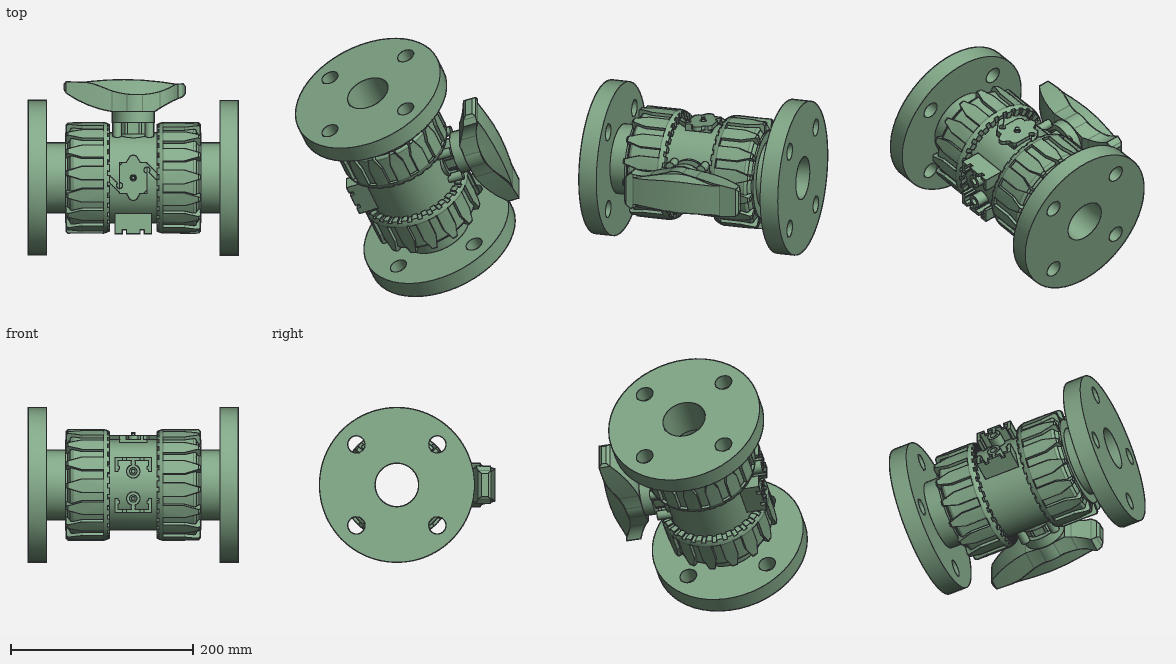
import cadquery as cq
import math


TOTAL_LENGTH = 230.6
HALF_LENGTH = TOTAL_LENGTH / 2
BORE_DIA = 47.5

FLANGE_DIA = 170.1
FLANGE_THICKNESS = 20.4
BOLT_CIRCLE_DIA = 125.5
BOLT_HOLE_DIA = 18.7
BOLT_COUNT = 4
BOLT_START_ANGLE = 45
PIPE_DIA = 77.1

NUT_TOOTH_TIP_X = 26.0
NUT_TOOTH_ROOT_X = 28.0
NUT_COLLAR_X = 32.7
RIB_TAPER_X = 56.3
RIB_END_X = 73.5
NUT_END_X = 74.4
NUT_LIP_X = 72.3
NUT_SHOULDER_X = 69.3
NUT_GROOVE_END_X = 66.3
NUT_WALL = 7.0
NUT_OUTER_RADIUS = 60.8
NUT_MOUTH_RADIUS = 58.3
NUT_MOUTH_MIDDLE_RADIUS = 59.9
NUT_GROOVE_RADIUS = 57.3
NUT_END_RADIUS = 98.3 / 2
NUT_SHOULDER_RADIUS = 54.0
NUT_SHOULDER_MIDDLE = (-68.4, 56.2)
NUT_MOUTH_BORE_DIA = 101.3
NUT_MOUTH_BORE_DEPTH = 6.0
RIB_COUNT = 15
RIB_WIDTH = 15.0
RIB_TIP_WIDTH = 4.6
RIB_END_CHAMFER = 2.0
RIB_OVERLAP = 1.0
TOOTH_COUNT = 2 * RIB_COUNT
TOOTH_GAP = 5.0
LEFT_NUT_ANGLE = 0.9
RIGHT_NUT_ANGLE = 5.1

HOUSING_DIA = 99.3
HOUSING_RADIUS = HOUSING_DIA / 2
HOUSING_HALF_LENGTH = NUT_END_X - NUT_WALL

MOUNT_TOP_Y = 60.7
MOUNT_DISC_RADIUS = 23.3
MOUNT_DISC_Y = 48.0
POST_DIA = 10.0
POST_CIRCLE_DIA = 50.0
STEM_HALF_WIDTH = 15.0
STEM_CHAMFER = 6.0
STEM_PAD_HALF_WIDTH = 6.3
STEM_PAD_HEIGHT = 1.0

BRACKET_HALF_WIDTH = 20.1
BRACKET_HEIGHT = 30.3
BRACKET_WALL = 3.5
BRACKET_END_Y = -61.5
BRACKET_LEG_END = 14.9
HOOK_DEPTH = 1.7
HOOK_BASE = 4.6
HOOK_TIP = 1.6
HOOK_Z = 18.8
BOSS_DIA = 14.6
BOSS_Z = 14.9
BOSS_COUNTERBORE_DIA = 8.0
BOSS_COUNTERBORE_DEPTH = 8.0
BOSS_HOLE_DIA = 4.3
BOSS_HOLE_DEPTH = 15.0
NECK_WIDTH = 3.6
NECK_BEAD_DIA = 5.0
NECK_BEAD_Z = 24.4
NOTCH_WIDTH = 4.4
NOTCH_DEPTH = 4.4
NOTCH_X = 9.8

PLATE_BOTTOM_Z = HOUSING_RADIUS
PLATE_TOP_Z = 54.3
PLATE_HALF_WIDTH = 15.0
PLATE_HALF_LENGTH = 17.0
PLATE_CORNER = 3.5
EAR_BASE = 7.8
EAR_NECK = 5.2
EAR_NECK_Y = 20.7
EAR_TOP_Y = 24.8
ARM_UPPER_SUM = 23.2
ARM_LOWER_SUM = 31.3
ARM_RELIEF_DIA = 6.61
ARM_RELIEF_Y = 8.5
PLATE_HOLE_DIA = 6.61
PIN_HEAD_DIA = 4.2
PIN_HEAD_HEIGHT = 1.4
PIN_NECK_DIA = 3.5
PIN_TOP_Z = 57.6

HANDLE_LEFT_X = -76.0
LEFT_SHOULDER_X = -73.6
HUB_LEFT_X = -23.4
HUB_ARC_START_X = -7.0
HUB_ARC_END_X = 10.0
HUB_RIGHT_X = 23.6
WAIST_X = 29.5
GRIP_X = 49.0
RIGHT_SHOULDER_X = 54.5
HANDLE_RIGHT_X = 57.2

HANDLE_BOTTOM_Y = 72.6
HANDLE_PEAK = (-12.0, 107.81)
DOME_LEFT = (-54.5, 104.8)
DOME_RIGHT = (46.5, 102.7)
LEFT_TIP_HEIGHTS = (93.0, 97.0, 102.4, 105.5)
RIGHT_TIP_HEIGHTS = (88.9, 92.6, 100.3, 103.2)
LEFT_BELLY = (-51.0, 80.4)
RIGHT_BELLY = (38.0, 81.4)
GRIP_BOTTOM_Y = 86.8
WAIST_BOTTOM_Y = 76.5
SHOULDER_EDGE = [(-41.0, 102.1), (HUB_LEFT_X, 95.3), (2.0, 91.2), (WAIST_X, 94.6), DOME_RIGHT]

COLLAR_RADIUS = 23.2
HUB_RADIUS = 24.0
LEFT_TIP_HALF_WIDTH = 12.3
LEFT_SHOULDER_HALF_WIDTH = 15.6
LEFT_WING_MIDDLE = (-50.0, 18.7)
HUB_LEFT_HALF_WIDTH = 20.8
HUB_BLEND_MIDDLE = (-15.0, 21.6)
WAIST_BLEND_MIDDLE = (20.0, 19.2)
WAIST_HALF_WIDTH = 17.4
GRIP_MIDDLE = (40.0, 17.2)
GRIP_HALF_WIDTH = 20.6
RIGHT_SHOULDER_HALF_WIDTH = 16.0
RIGHT_TIP_HALF_WIDTH = 12.8

CROWN_BASE_Y = 91.0
CROWN_TOP_Y = 108.5
CROWN_STATIONS = [
    (DOME_LEFT[0], 20.0, 16.6),
    (HUB_LEFT_X, 20.9, 17.2),
    (1.0, 21.2, 17.5),
    (WAIST_X, 17.4, 15.4),
    (DOME_RIGHT[0], 17.2, 14.6),
]
HANDLE_DEPTH = 60


def x_cylinder(diameter, x_start, x_end):
    length = x_end - x_start
    return cq.Workplane("YZ", origin=(x_start, 0, 0)).circle(diameter / 2).extrude(length)


def y_cylinder(radius, x, z, y_start, y_end):
    base = cq.Workplane("XZ", origin=(0, y_start, 0)).center(x, z)
    return base.circle(radius).extrude(y_start - y_end)


def y_prism(sketch_points, y_start, y_end):
    base = cq.Workplane("XZ", origin=(0, y_start, 0))
    return base.polyline(sketch_points).close().extrude(y_start - y_end)


def half_turn(shape):
    return shape.rotate((0, 0, 0), (0, 0, 1), 180)


def make_pipe_end():
    flange_face = FLANGE_THICKNESS - HALF_LENGTH
    body = x_cylinder(FLANGE_DIA, -HALF_LENGTH, flange_face)
    body = body.union(x_cylinder(PIPE_DIA, flange_face, -HOUSING_HALF_LENGTH))
    body = body.cut(x_cylinder(BORE_DIA, -HALF_LENGTH, 0))
    bolts = (
        cq.Workplane("YZ", origin=(-HALF_LENGTH, 0, 0))
        .polarArray(BOLT_CIRCLE_DIA / 2, BOLT_START_ANGLE, 360, BOLT_COUNT)
        .circle(BOLT_HOLE_DIA / 2)
        .extrude(FLANGE_THICKNESS)
    )
    return body.cut(bolts)


def nut_core():
    mouth_middle = (-(NUT_TOOTH_TIP_X + NUT_COLLAR_X) / 2, NUT_MOUTH_MIDDLE_RADIUS)
    return (
        cq.Workplane("XY")
        .moveTo(-NUT_END_X, 0)
        .lineTo(-NUT_END_X, NUT_END_RADIUS)
        .lineTo(-NUT_LIP_X, NUT_END_RADIUS)
        .lineTo(-NUT_SHOULDER_X, NUT_SHOULDER_RADIUS)
        .threePointArc(NUT_SHOULDER_MIDDLE, (-NUT_GROOVE_END_X, NUT_GROOVE_RADIUS))
        .lineTo(-NUT_COLLAR_X, NUT_GROOVE_RADIUS)
        .lineTo(-NUT_COLLAR_X, NUT_OUTER_RADIUS)
        .threePointArc(mouth_middle, (-NUT_TOOTH_TIP_X, NUT_MOUTH_RADIUS))
        .lineTo(-NUT_TOOTH_TIP_X, 0)
        .close()
        .revolve(360, (0, 0, 0), (1, 0, 0))
    )


def nut_ribs():
    half_width = RIB_WIDTH / 2
    half_tip = RIB_TIP_WIDTH / 2
    outline = [
        (-NUT_COLLAR_X, -half_width),
        (-RIB_TAPER_X, -half_width),
        (-RIB_END_X, -half_tip),
        (-RIB_END_X, half_tip),
        (-RIB_TAPER_X, half_width),
        (-NUT_COLLAR_X, half_width),
    ]
    inner = NUT_END_RADIUS - RIB_OVERLAP
    envelope = x_cylinder(2 * NUT_OUTER_RADIUS, -RIB_END_X, -NUT_COLLAR_X)
    envelope = envelope.faces("<X").chamfer(RIB_END_CHAMFER)
    rib = y_prism(outline, -inner, -NUT_OUTER_RADIUS - RIB_OVERLAP).intersect(envelope)
    pitch = 360 / RIB_COUNT
    return [rib.rotate((0, 0, 0), (1, 0, 0), i * pitch) for i in range(RIB_COUNT)]


def make_nut():
    body = nut_core()
    for rib in nut_ribs():
        body = body.union(rib)
    body = body.cut(x_cylinder(PIPE_DIA, -NUT_END_X, 0))
    body = body.cut(x_cylinder(HOUSING_DIA, -HOUSING_HALF_LENGTH, 0))
    mouth_start = -NUT_TOOTH_TIP_X - NUT_MOUTH_BORE_DEPTH
    body = body.cut(x_cylinder(NUT_MOUTH_BORE_DIA, mouth_start, 0))
    gap_length = NUT_TOOTH_ROOT_X - NUT_TOOTH_TIP_X
    gap_x = -(NUT_TOOTH_ROOT_X + NUT_TOOTH_TIP_X) / 2
    gap = cq.Workplane("XY").box(gap_length, 2 * NUT_OUTER_RADIUS, TOOTH_GAP)
    gap = gap.translate((gap_x, -NUT_OUTER_RADIUS, 0))
    for i in range(TOOTH_COUNT):
        body = body.cut(gap.rotate((0, 0, 0), (1, 0, 0), i * 360 / TOOTH_COUNT))
    return body


def handle_mount():
    disc = y_cylinder(MOUNT_DISC_RADIUS, 0, 0, 0, MOUNT_DISC_Y)
    stem_width = 2 * STEM_HALF_WIDTH
    stem = cq.Workplane("XZ").rect(stem_width, stem_width).extrude(-MOUNT_TOP_Y)
    stem = stem.edges("|Y").chamfer(STEM_CHAMFER)
    pad_span = stem_width + 2 * STEM_PAD_HEIGHT
    pads = cq.Workplane("XZ").rect(2 * STEM_PAD_HALF_WIDTH, pad_span).extrude(-MOUNT_TOP_Y)
    mount = disc.union(stem).union(pads)
    offset = POST_CIRCLE_DIA / 2 / math.sqrt(2)
    for x in (-offset, offset):
        for z in (-offset, offset):
            mount = mount.union(y_cylinder(POST_DIA / 2, x, z, 0, MOUNT_TOP_Y))
    return mount


def upper_bracket():
    inner_x = BRACKET_HALF_WIDTH - BRACKET_WALL
    inner_z = BRACKET_HEIGHT - BRACKET_WALL
    right_half = [
        (0, BRACKET_HEIGHT),
        (BRACKET_HALF_WIDTH, BRACKET_HEIGHT),
        (BRACKET_HALF_WIDTH, BRACKET_LEG_END),
        (inner_x, BRACKET_LEG_END),
        (inner_x, HOOK_Z - HOOK_BASE / 2),
        (inner_x - HOOK_DEPTH, HOOK_Z - HOOK_TIP / 2),
        (inner_x - HOOK_DEPTH, HOOK_Z + HOOK_TIP / 2),
        (inner_x, HOOK_Z + HOOK_BASE / 2),
        (inner_x, inner_z),
        (0, inner_z),
    ]
    half = y_prism(right_half, 0, BRACKET_END_Y)
    bracket = half.union(half.mirror("YZ"))

    neck_points = [
        (-NECK_WIDTH / 2, BOSS_Z),
        (NECK_WIDTH / 2, BOSS_Z),
        (NECK_WIDTH / 2, inner_z),
        (-NECK_WIDTH / 2, inner_z),
    ]
    bracket = bracket.union(y_prism(neck_points, 0, BRACKET_END_Y))
    bracket = bracket.union(y_cylinder(NECK_BEAD_DIA / 2, 0, NECK_BEAD_Z, 0, BRACKET_END_Y))
    bracket = bracket.union(y_cylinder(BOSS_DIA / 2, 0, BOSS_Z, 0, BRACKET_END_Y))

    hole_end = BRACKET_END_Y + BOSS_HOLE_DEPTH
    counterbore_end = BRACKET_END_Y + BOSS_COUNTERBORE_DEPTH
    bracket = bracket.cut(y_cylinder(BOSS_HOLE_DIA / 2, 0, BOSS_Z, BRACKET_END_Y, hole_end))
    counterbore = y_cylinder(BOSS_COUNTERBORE_DIA / 2, 0, BOSS_Z, BRACKET_END_Y, counterbore_end)
    bracket = bracket.cut(counterbore)

    for x in (-NOTCH_X, NOTCH_X):
        notch = cq.Workplane("XY").box(NOTCH_WIDTH, 2 * NOTCH_DEPTH, 2 * BRACKET_WALL)
        bracket = bracket.cut(notch.translate((x, BRACKET_END_Y, BRACKET_HEIGHT)))
    return bracket


def make_housing():
    bracket = upper_bracket()
    body = x_cylinder(HOUSING_DIA, -HOUSING_HALF_LENGTH, HOUSING_HALF_LENGTH)
    body = body.union(handle_mount())
    body = body.union(bracket).union(bracket.mirror("XY"))
    pin = cq.Workplane("XY").circle(PIN_NECK_DIA / 2).extrude(PIN_TOP_Z)
    pin = pin.faces(">Z").workplane().circle(PIN_HEAD_DIA / 2).extrude(-PIN_HEAD_HEIGHT)
    body = body.union(pin)
    return body.cut(x_cylinder(BORE_DIA, -HALF_LENGTH, HALF_LENGTH))


def plate_ear(base_z, height):
    return (
        cq.Workplane("XY", origin=(0, 0, base_z))
        .moveTo(-EAR_BASE, 0)
        .lineTo(-EAR_BASE, PLATE_HALF_LENGTH)
        .lineTo(-EAR_NECK, EAR_NECK_Y)
        .threePointArc((0, EAR_TOP_Y), (EAR_NECK, EAR_NECK_Y))
        .lineTo(EAR_BASE, PLATE_HALF_LENGTH)
        .lineTo(EAR_BASE, 0)
        .close()
        .extrude(height)
    )


def plate_arm(base_z, height):
    root_x = -PLATE_HALF_WIDTH
    tip_x = -NUT_TOOTH_TIP_X
    outline = [
        (root_x, -ARM_UPPER_SUM - root_x),
        (tip_x, -ARM_UPPER_SUM - tip_x),
        (tip_x, -ARM_LOWER_SUM - tip_x),
        (root_x, -ARM_LOWER_SUM - root_x),
    ]
    return cq.Workplane("XY", origin=(0, 0, base_z)).polyline(outline).close().extrude(height)


def make_plate():
    height = PLATE_TOP_Z - PLATE_BOTTOM_Z
    width = 2 * PLATE_HALF_WIDTH
    length = 2 * PLATE_HALF_LENGTH
    plate = cq.Workplane("XY", origin=(0, 0, PLATE_BOTTOM_Z)).rect(width, length).extrude(height)
    plate = plate.edges("|Z and <X and >Y").chamfer(PLATE_CORNER)
    plate = plate.edges("|Z and >X and <Y").chamfer(PLATE_CORNER)

    ear = plate_ear(PLATE_BOTTOM_Z, height)
    arm = plate_arm(PLATE_BOTTOM_Z, height)
    relief = (
        cq.Workplane("XY", origin=(-PLATE_HALF_WIDTH, -ARM_RELIEF_Y, PLATE_BOTTOM_Z))
        .circle(ARM_RELIEF_DIA / 2)
        .extrude(height)
    )
    for part in (ear, arm):
        plate = plate.union(part).union(half_turn(part))
    plate = plate.cut(relief).cut(half_turn(relief))

    saddle = cq.Workplane("XY").rect(width, length).extrude(PLATE_BOTTOM_Z)
    saddle = saddle.cut(x_cylinder(HOUSING_DIA, -HALF_LENGTH, HALF_LENGTH))
    hole = cq.Workplane("XY").circle(PLATE_HOLE_DIA / 2).extrude(PLATE_TOP_Z)
    return plate.union(saddle).cut(hole)


def handle_side_profile():
    """Outline of the handle along the pipe, drawn through its full thickness."""
    left_bottom, left_low, left_high, left_top = LEFT_TIP_HEIGHTS
    right_bottom, right_low, right_high, right_top = RIGHT_TIP_HEIGHTS
    return (
        cq.Workplane("XY", origin=(0, 0, -HANDLE_DEPTH / 2))
        .moveTo(HUB_LEFT_X, HANDLE_BOTTOM_Y)
        .threePointArc(LEFT_BELLY, (LEFT_SHOULDER_X, left_bottom))
        .lineTo(HANDLE_LEFT_X, left_low)
        .lineTo(HANDLE_LEFT_X, left_high)
        .lineTo(LEFT_SHOULDER_X, left_top)
        .lineTo(*DOME_LEFT)
        .threePointArc(HANDLE_PEAK, DOME_RIGHT)
        .lineTo(RIGHT_SHOULDER_X, right_top)
        .lineTo(HANDLE_RIGHT_X, right_high)
        .lineTo(HANDLE_RIGHT_X, right_low)
        .lineTo(RIGHT_SHOULDER_X, right_bottom)
        .lineTo(GRIP_X, GRIP_BOTTOM_Y)
        .threePointArc(RIGHT_BELLY, (WAIST_X, WAIST_BOTTOM_Y))
        .lineTo(HUB_RIGHT_X, HANDLE_BOTTOM_Y)
        .close()
        .extrude(HANDLE_DEPTH)
    )


def hub_point(x):
    return (x, math.sqrt(HUB_RADIUS**2 - x**2))


def handle_plan():
    """Handle seen along the stem: a wing, a round hub, a waist and a flared grip."""
    half = (
        cq.Workplane("XZ", origin=(0, HANDLE_BOTTOM_Y, 0))
        .moveTo(HANDLE_LEFT_X, 0)
        .lineTo(HANDLE_LEFT_X, LEFT_TIP_HALF_WIDTH)
        .lineTo(LEFT_SHOULDER_X, LEFT_SHOULDER_HALF_WIDTH)
        .threePointArc(LEFT_WING_MIDDLE, (HUB_LEFT_X, HUB_LEFT_HALF_WIDTH))
        .threePointArc(HUB_BLEND_MIDDLE, hub_point(HUB_ARC_START_X))
        .threePointArc(hub_point(0), hub_point(HUB_ARC_END_X))
        .threePointArc(WAIST_BLEND_MIDDLE, (WAIST_X, WAIST_HALF_WIDTH))
        .threePointArc(GRIP_MIDDLE, (GRIP_X, GRIP_HALF_WIDTH))
        .lineTo(RIGHT_SHOULDER_X, RIGHT_SHOULDER_HALF_WIDTH)
        .lineTo(HANDLE_RIGHT_X, RIGHT_TIP_HALF_WIDTH)
        .lineTo(HANDLE_RIGHT_X, 0)
        .close()
        .extrude(-HANDLE_DEPTH)
    )
    return half.union(half.mirror("XY"))


def handle_shoulder():
    """Space below the dipping edge where the upright sides of the handle end."""
    return (
        cq.Workplane("XY", origin=(0, 0, -HANDLE_DEPTH / 2))
        .moveTo(DOME_LEFT[0], 0)
        .lineTo(*DOME_LEFT)
        .spline(SHOULDER_EDGE, includeCurrent=True)
        .lineTo(DOME_RIGHT[0], 0)
        .close()
        .extrude(HANDLE_DEPTH)
    )


def handle_crown():
    """Crown with tapered sides above the shoulder: a smooth loft of trapezoids."""
    wires = []
    for x, base, top in CROWN_STATIONS:
        corners = [
            cq.Vector(x, CROWN_BASE_Y, -base),
            cq.Vector(x, CROWN_BASE_Y, base),
            cq.Vector(x, CROWN_TOP_Y, top),
            cq.Vector(x, CROWN_TOP_Y, -top),
        ]
        wires.append(cq.Wire.makePolygon(corners, close=True))
    return cq.Workplane(obj=cq.Solid.makeLoft(wires))


def make_handle():
    grip = handle_side_profile().intersect(handle_plan())
    dome_length = DOME_RIGHT[0] - DOME_LEFT[0]
    dome_middle = (DOME_RIGHT[0] + DOME_LEFT[0]) / 2
    dome_space = cq.Workplane("XY").box(dome_length, 4 * HANDLE_DEPTH, 2 * HANDLE_DEPTH)
    dome_space = dome_space.translate((dome_middle, 0, 0))
    tips = grip.cut(dome_space)
    body = grip.intersect(handle_shoulder()).union(grip.intersect(handle_crown()))
    collar = y_cylinder(COLLAR_RADIUS, 0, 0, MOUNT_TOP_Y, HANDLE_BOTTOM_Y)
    return body.union(tips).union(collar)


left_pipe_end = make_pipe_end()
right_pipe_end = half_turn(left_pipe_end)

nut = make_nut()
left_nut = nut.rotate((0, 0, 0), (1, 0, 0), LEFT_NUT_ANGLE)
right_nut = nut.mirror("YZ").rotate((0, 0, 0), (1, 0, 0), RIGHT_NUT_ANGLE)

housing = make_housing()
plate = make_plate()
handle = make_handle()

result = cq.Compound.makeCompound(
    [
        left_pipe_end.val(),
        right_pipe_end.val(),
        left_nut.val(),
        right_nut.val(),
        housing.val(),
        plate.val(),
        handle.val(),
    ]
)